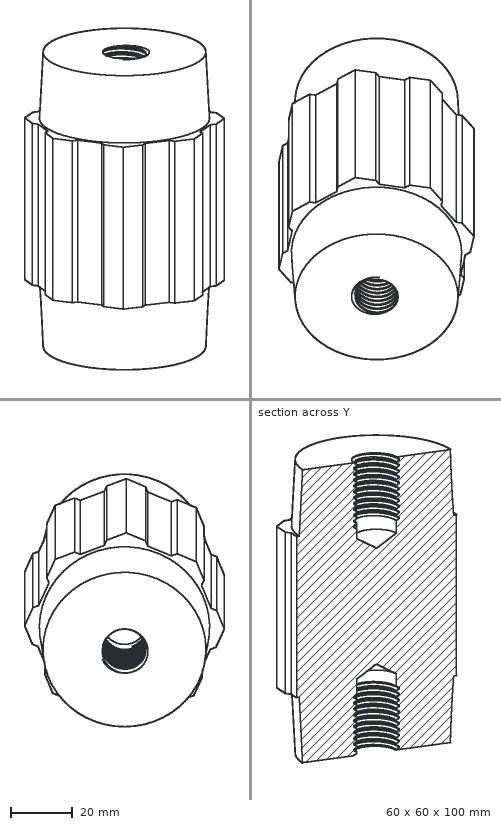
import cadquery as cq
import math

height = 100.0
grip_height = 55.0
half_height = height / 2

sides = 8
across_flats = 60.0
groove_width = 11.2
groove_depth = 1.4

end_tip_diameter = 53.0
end_draft_angle = 3.0

bore_diameter = 14.0
thread_diameter = 16.2
thread_pitch = 2.0
thread_root_flat = 0.2
thread_angle = 60.0
thread_overlap = 0.3
bore_depth = 26.0
thread_turns = 11
drill_point_angle = 118.0


def make_grip():
    """Octagonal prism with a shallow 45-degree-sided groove along each flat."""
    corner_diameter = across_flats / math.cos(math.pi / sides)
    grip = (
        cq.Workplane("XY")
        .polygon(sides, corner_diameter)
        .extrude(grip_height / 2, both=True)
        .rotate((0, 0, 0), (0, 0, 1), 180 / sides)
    )
    face = across_flats / 2
    mouth = groove_width / 2
    floor = mouth - groove_depth
    groove = (
        cq.Workplane("XY")
        .polyline([
            (face, -mouth),
            (face, mouth),
            (face - groove_depth, floor),
            (face - groove_depth, -floor),
        ])
        .close()
        .extrude(grip_height / 2, both=True)
    )
    for side in range(sides):
        grip = grip.cut(groove.rotate((0, 0, 0), (0, 0, 1), side * 360 / sides))
    return grip


def make_core():
    """Solid of revolution with both tapered ends, joined through the grip."""
    shoulder = grip_height / 2
    tip = end_tip_diameter / 2
    base = tip + (half_height - shoulder) * math.tan(math.radians(end_draft_angle))
    return (
        cq.Workplane("XZ")
        .polyline([
            (0, -half_height),
            (tip, -half_height),
            (base, -shoulder),
            (base, shoulder),
            (tip, half_height),
            (0, half_height),
        ])
        .close()
        .revolve(360, (0, 0, 0), (0, 1, 0))
    )


def make_bore():
    """Blind bore with a conical drill point, entering from the top."""
    radius = bore_diameter / 2
    bottom = half_height - bore_depth
    point_height = radius / math.tan(math.radians(drill_point_angle / 2))
    return (
        cq.Workplane("XZ")
        .polyline([
            (0, half_height),
            (radius, half_height),
            (radius, bottom),
            (0, bottom - point_height),
        ])
        .close()
        .revolve(360, (0, 0, 0), (0, 1, 0))
    )


def make_thread_turn():
    """One right-handed turn of the V groove, starting on the X axis at Z = 0."""
    outer = thread_diameter / 2
    inner = bore_diameter / 2 - thread_overlap
    root_half = thread_root_flat / 2
    mouth_half = root_half + (outer - inner) * math.tan(math.radians(thread_angle / 2))
    helix = cq.Wire.makeHelix(thread_pitch, thread_pitch, inner)
    return (
        cq.Workplane("XZ")
        .polyline([
            (inner, -mouth_half),
            (outer, -root_half),
            (outer, root_half),
            (inner, mouth_half),
        ])
        .close()
        .sweep(cq.Workplane(helix), isFrenet=True)
    )


def cut_threaded_hole(body, flip):
    """Bore one end and thread it; a flip of 180 degrees about X selects the bottom end."""
    origin = (0, 0, 0)
    x_axis = (1, 0, 0)
    body = body.cut(make_bore().rotate(origin, x_axis, flip))
    turn = make_thread_turn()
    for index in range(thread_turns + 1):
        groove = turn.translate((0, 0, half_height - index * thread_pitch))
        body = body.cut(groove.rotate(origin, x_axis, flip), clean=False)
    return body


result = make_grip().union(make_core())
for flip in (0, 180):
    result = cut_threaded_hole(result, flip)